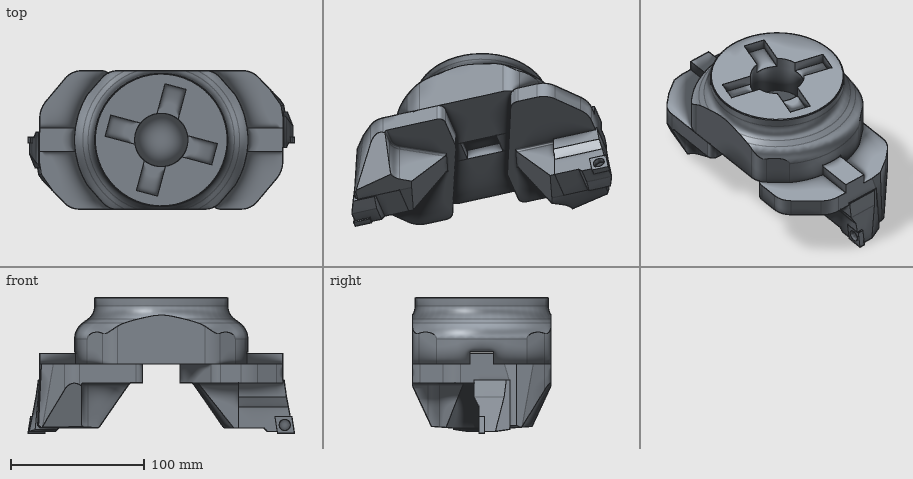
import cadquery as cq
import math

body_width = 104.0
half_width = body_width / 2

hub_height = 50.0
neck_radius = 50.0
neck_bottom_z = 43.4
neck_edge_chamfer = 0.5
hub_radius = 65.0
neck_fillet = 12.0
shoulder_fillet = 15.0
shoulder_angle = 54.0
shoulder_top_z = neck_bottom_z - neck_fillet * math.sin(math.radians(shoulder_angle))
hub_corner_x = 39.5
hub_corner_angle = 48.8
hub_corner_fillet = 15.0
bore_diameter = 40.0
bore_depth = 32.0
drive_slot_count = 4
drive_slot_width = 16.4
drive_slot_reach = 41.4
drive_slot_depth = 8.0
drive_slot_angle = 15.0

tongue_width = 17.5
tongue_height = 8.0
guide_slot_height = 9.2

plate_thickness = 14.0
arm_outer_x = -91.2
arm_inner_x = -14.0
inner_edge_fillet = 5.0
inner_slant_x = -39.2
inner_slant_slope = 0.35
inner_slant_fillet = 7.5
plate_corner_fillet = 16.0
outer_corner_fillet = 20.0
rear_chamfer_x = -67.2
rear_chamfer_y = 23.4
front_chamfer_x = -68.0
front_chamfer_angle = 46.0

cartridge_top_z = -12.0
cartridge_bottom_z = -50.5
cartridge_inner_x = -58.0
cartridge_outer_x = -92.2
cartridge_front_y = -21.0
cartridge_head_y = 5.8
cartridge_face_y = 2.2
head_end_z = -24.5
face_start_z = -32.0
head_lean = 8.0
face_lean = 10.8
foot_start_x = -76.8
relief_top = (cartridge_outer_x, -18.4, cartridge_top_z)
relief_bottom = (-99.0, -10.0, cartridge_bottom_z)
relief_front = (-95.0, -20.2, cartridge_bottom_z)
sole_front_z = -49.0

leg_bottom_z = -48.0
leg_rear_y = cartridge_face_y
leg_outer_x = -100.0
leg_front_angle = 30.0
leg_front_fillet = 10.0
leg_root_fillet = 1.5
root_margin = 1.0
cheek_wall_x = -59.8
cheek_foot_y = -34.4
slope_rear_top = (-27.4, leg_rear_y, -plate_thickness)
slope_front_top = (-23.4, -13.5, -plate_thickness)
slope_rear_bottom = (-54.4, leg_rear_y, leg_bottom_z)
bevel_front = (-80.8, -38.8, 0)
bevel_rear = (-89.8, -26.0, 0)
bevel_foot = (-89.2, -30.0, -47.2)
taper_top = (cheek_wall_x, -half_width, -16.2)
taper_bottom = (cheek_wall_x, -37.4, -47.5)
foot_front_y = -37.4
foot_front_z = -46.8
flank_end = (arm_outer_x, -17.0, 0)
flank_foot = (-92.0, -26.0, -47.2)
heel_rear = (-92.8, cartridge_front_y, -45.8)
heel_front = (-92.0, -26.0, -45.8)
heel_foot = (-90.0, -26.0, leg_bottom_z)
leg_core = (-70.0, -16.0, -30.0)

overall_length = 200.0
insert_side = 12.8
insert_thickness = 2 * cartridge_face_y
insert_tip_x = -overall_length / 2
insert_tip_z = -52.0
insert_lean = 2.0
insert_hole_diameter = 8.4

FAR = 399.9


def beyond(a, b, c):
    """Half-space bounded by the plane through three points, on the side away from the leg's core."""
    a, b, c = cq.Vector(*a), cq.Vector(*b), cq.Vector(*c)
    normal = (b - a).cross(c - a)
    if normal.dot(cq.Vector(*leg_core) - a) > 0:
        normal = -normal
    plane = cq.Plane(origin=a.toTuple(), normal=normal.toTuple())
    return cq.Workplane(plane).rect(FAR, FAR).extrude(FAR)


def make_hub():
    """Turned hub with two side flats, four drive slots, a blind bore and a guide slot underneath."""
    slope = math.radians(shoulder_angle)
    neck_end_r = neck_radius + neck_fillet * (1 - math.cos(slope))
    shoulder_r = hub_radius - shoulder_fillet * (1 - math.cos(slope))
    shoulder_z = shoulder_top_z - (shoulder_r - neck_end_r) / math.tan(slope)
    rim_z = shoulder_z - shoulder_fillet * math.sin(slope)
    half = slope / 2
    neck_mid = (
        neck_radius + neck_fillet * (1 - math.cos(half)),
        neck_bottom_z - neck_fillet * math.sin(half),
    )
    shoulder_mid = (
        hub_radius - shoulder_fillet * (1 - math.cos(half)),
        rim_z + shoulder_fillet * math.sin(half),
    )
    turned = (
        cq.Workplane("XZ")
        .lineTo(hub_radius, 0)
        .lineTo(hub_radius, rim_z)
        .threePointArc(shoulder_mid, (shoulder_r, shoulder_z))
        .lineTo(neck_end_r, shoulder_top_z)
        .threePointArc(neck_mid, (neck_radius, neck_bottom_z))
        .lineTo(neck_radius, hub_height - neck_edge_chamfer)
        .lineTo(neck_radius - neck_edge_chamfer, hub_height)
        .lineTo(0, hub_height)
        .close()
        .revolve(360, (0, 0), (0, 1))
    )
    corner_run = half_width / math.tan(math.radians(hub_corner_angle))
    tip_x = hub_corner_x + corner_run
    envelope = (
        cq.Workplane("XY")
        .polyline([
            (tip_x, 0),
            (hub_corner_x, half_width),
            (-hub_corner_x, half_width),
            (-tip_x, 0),
            (-hub_corner_x, -half_width),
            (hub_corner_x, -half_width),
        ])
        .close()
        .extrude(hub_height)
        .edges("|Z and (>Y or <Y)")
        .fillet(hub_corner_fillet)
    )
    hub = turned.intersect(envelope)
    hub = hub.cut(cq.Workplane("XY").box(FAR, tongue_width, 2 * guide_slot_height))
    top = cq.Workplane("XY").workplane(offset=hub_height)
    hub = hub.cut(top.circle(bore_diameter / 2).extrude(-bore_depth))
    for i in range(drive_slot_count):
        slot = (
            top.center(drive_slot_reach / 2, 0)
            .rect(drive_slot_reach, drive_slot_width)
            .extrude(-drive_slot_depth)
            .rotate((0, 0, 0), (0, 0, 1), -drive_slot_angle + i * 360 / drive_slot_count)
        )
        hub = hub.cut(slot)
    return hub


def arm_outline(outer_x, depth):
    """Plan of an arm carried down to a depth, with its outer end at outer_x."""
    slant_y = half_width + (inner_slant_x - arm_inner_x) / inner_slant_slope
    chamfer_slope = math.tan(math.radians(front_chamfer_angle))
    inner_front = (arm_inner_x, -half_width)
    inner_rear = (inner_slant_x, half_width)
    rear_corner = (rear_chamfer_x, half_width)
    outer_rear = (outer_x, rear_chamfer_y)
    outer_front = (outer_x, -half_width + (front_chamfer_x - outer_x) * chamfer_slope)
    front_corner = (front_chamfer_x, -half_width)
    inner_middle = (arm_inner_x, slant_y)
    corners = [inner_front, inner_middle, inner_rear, rear_corner, outer_rear, outer_front, front_corner]
    outline = cq.Workplane("XY").polyline(corners).close().extrude(-depth)
    for corner, radius in (
        (inner_front, inner_edge_fillet),
        (inner_rear, inner_slant_fillet),
        (rear_corner, plate_corner_fillet),
        (outer_rear, outer_corner_fillet),
        (front_corner, plate_corner_fillet),
    ):
        middle = (*corner, -depth / 2)
        outline = outline.edges(cq.selectors.NearestToPointSelector(middle)).fillet(radius)
    return outline


def make_leg():
    """Leg that carries the cartridge, bounded by the arm outline and by sloping planes."""
    wall_foot = (cheek_wall_x, cheek_foot_y)
    front_rise = leg_rear_y - cheek_foot_y
    front_run = front_rise / math.tan(math.radians(leg_front_angle))
    plan = (
        cq.Workplane("XY")
        .polyline([
            (cheek_wall_x + front_run, leg_rear_y),
            (arm_outer_x, leg_rear_y),
            (arm_outer_x, cartridge_front_y),
            (leg_outer_x, cartridge_front_y),
            (leg_outer_x, -half_width),
            (cheek_wall_x, -half_width),
            wall_foot,
        ])
        .close()
        .extrude(leg_bottom_z)
        .edges(cq.selectors.NearestToPointSelector((*wall_foot, leg_bottom_z / 2)))
        .fillet(leg_front_fillet)
    )
    leg = plan.intersect(arm_outline(leg_outer_x, -leg_bottom_z))
    inner_slope = beyond(slope_rear_top, slope_front_top, slope_rear_bottom)
    front_taper = beyond(taper_top, taper_bottom, bevel_foot)
    foot_front = (0, foot_front_y, foot_front_z)
    foot_rear = (0, cartridge_front_y, leg_bottom_z)
    foot = beyond(foot_front, foot_rear, (leg_outer_x, foot_front_y, foot_front_z))
    for waste in (inner_slope, front_taper, foot):
        leg = leg.cut(waste)
    return leg


def make_arm():
    """Plate, leg and tongue as one solid, with a pocket for the cartridge."""
    plate = arm_outline(arm_outer_x, plate_thickness)
    arm = plate.union(make_leg())
    root_edges = cq.selectors.BoxSelector(
        (leg_outer_x, -half_width + root_margin, -plate_thickness - root_margin),
        (slope_rear_top[0], leg_rear_y + root_margin, -plate_thickness + root_margin),
    )
    arm = arm.edges(root_edges).fillet(leg_root_fillet)
    arm = arm.cut(beyond(bevel_front, bevel_rear, bevel_foot))
    arm = arm.cut(beyond(bevel_rear, flank_end, flank_foot))
    arm = arm.cut(beyond(heel_rear, heel_front, heel_foot))
    pocket = cq.Workplane("XY").box(
        FAR, cartridge_head_y - cartridge_front_y, FAR, centered=False
    ).translate((cartridge_inner_x - FAR, cartridge_front_y, cartridge_top_z - FAR))
    arm = arm.cut(pocket)
    tongue = (
        cq.Workplane("XY")
        .box(arm_inner_x - arm_outer_x, tongue_width, tongue_height, centered=(False, True, False))
        .translate((arm_outer_x, 0, 0))
    )
    return arm.union(tongue)


def make_cartridge():
    """Block that fills the pocket and stands out of it at the outer end."""
    upper_drop = cartridge_top_z - head_end_z
    head_x = cartridge_outer_x - upper_drop * math.tan(math.radians(head_lean))
    foot_x = head_x - (head_end_z - cartridge_bottom_z) * math.tan(math.radians(face_lean))
    step = leg_bottom_z - cartridge_bottom_z
    cartridge = (
        cq.Workplane("XZ")
        .polyline([
            (cartridge_inner_x, cartridge_top_z),
            (cartridge_outer_x, cartridge_top_z),
            (head_x, head_end_z),
            (foot_x, cartridge_bottom_z),
            (foot_start_x - step, cartridge_bottom_z),
            (foot_start_x, leg_bottom_z),
            (cartridge_inner_x, leg_bottom_z),
        ])
        .close()
        .extrude(cartridge_head_y - cartridge_front_y)
        .translate((0, cartridge_head_y, 0))
    )
    chip_space = (
        cq.Workplane("YZ")
        .polyline([
            (cartridge_head_y, head_end_z),
            (cartridge_face_y, face_start_z),
            (cartridge_face_y, cartridge_bottom_z),
            (cartridge_head_y, cartridge_bottom_z),
        ])
        .close()
        .extrude(FAR, both=True)
    )
    flank_relief = beyond(relief_top, relief_bottom, relief_front)
    sole_rear = (0, relief_bottom[1], cartridge_bottom_z)
    sole_front = (0, cartridge_front_y, sole_front_z)
    sole = beyond(sole_front, sole_rear, (cartridge_outer_x, cartridge_front_y, sole_front_z))
    return cartridge.cut(chip_space).cut(flank_relief).cut(sole)


def insert_blank():
    """Insert without its hole, which is also the shape of its seat."""
    return (
        cq.Workplane("XZ")
        .polyline([
            (insert_tip_x, insert_tip_z),
            (insert_tip_x + insert_side, insert_tip_z),
            (insert_tip_x + insert_side + insert_lean, insert_tip_z + insert_side),
            (insert_tip_x + insert_lean, insert_tip_z + insert_side),
        ])
        .close()
        .extrude(insert_thickness)
        .translate((0, cartridge_face_y, 0))
    )


def make_insert():
    """Rhombic insert with a hole through its middle."""
    center_x = insert_tip_x + (insert_side + insert_lean) / 2
    center_z = insert_tip_z + insert_side / 2
    hole = (
        cq.Workplane("XZ")
        .center(center_x, center_z)
        .circle(insert_hole_diameter / 2)
        .extrude(FAR, both=True)
    )
    return insert_blank().cut(hole)


def both_sides(body):
    """The body and its copy half a turn around Z, each a separate solid."""
    return [body.rotate((0, 0, 0), (0, 0, 1), angle).val() for angle in (0, 180)]


hub = make_hub()
arms = both_sides(make_arm())
cartridges = both_sides(make_cartridge().cut(insert_blank()))
inserts = both_sides(make_insert())

result = cq.Compound.makeCompound([hub.val(), *arms, *cartridges, *inserts])